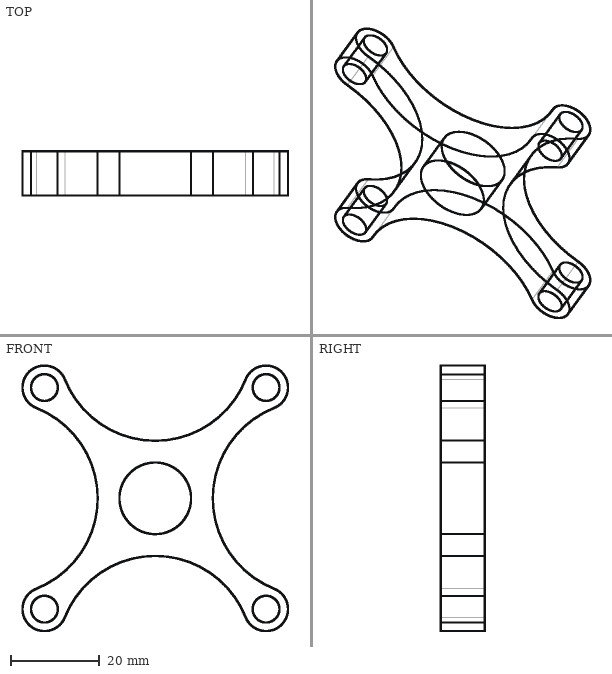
import cadquery as cq
import math

overall_size = 60.0
thickness = 10.0
lug_radius = 5.0
lug_hole_diameter = 6.0
center_hole_diameter = 16.15
waist = 13.0

lug_offset = overall_size / 2 - lug_radius

tangent_gap = waist - lug_radius
scallop_center = (2 * lug_offset**2 - tangent_gap**2) / (2 * (lug_offset - tangent_gap))
scallop_radius = scallop_center - waist

center_distance = scallop_radius + lug_radius
tangent_x = lug_offset * scallop_radius / center_distance
tangent_z = scallop_center + (lug_offset - scallop_center) * scallop_radius / center_distance
lug_tip = lug_offset + lug_radius / math.sqrt(2)


def turned(x, z, quarter_turns):
    """Turn a profile point clockwise about the part axis."""
    for _ in range(quarter_turns):
        x, z = z, -x
    return x, z


def spider_body():
    """Four-armed plate: one scallop and one lug tip per quarter turn."""
    profile = cq.Workplane("XZ").moveTo(-tangent_x, tangent_z)
    for quarter in range(4):
        profile = profile.threePointArc(
            turned(0, waist, quarter), turned(tangent_x, tangent_z, quarter)
        )
        profile = profile.threePointArc(
            turned(lug_tip, lug_tip, quarter), turned(tangent_z, tangent_x, quarter)
        )
    return profile.close().extrude(thickness / 2, both=True)


def drill_holes(body):
    """Cut the center bore and the four lug holes through the plate along Y."""
    bored = body.faces("<Y").workplane(origin=(0, 0, 0)).circle(center_hole_diameter / 2).cutThruAll()
    return (
        bored.faces("<Y")
        .workplane(origin=(0, 0, 0))
        .rect(2 * lug_offset, 2 * lug_offset, forConstruction=True)
        .vertices()
        .circle(lug_hole_diameter / 2)
        .cutThruAll()
    )


result = drill_holes(spider_body())